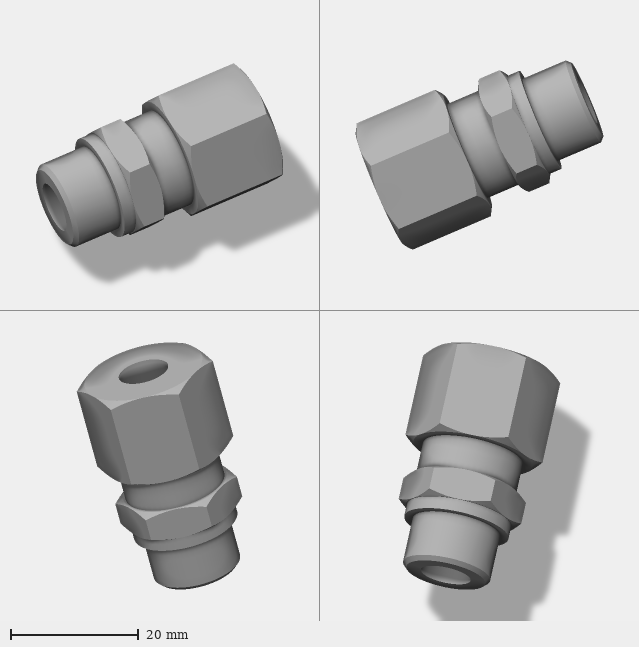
import cadquery as cq
import math

total_length = 35.4
spigot_length = 8.0
collar_length = 2.0
body_hex_length = 5.0
nut_length = 15.0

bore_diameter = 8.0
spigot_diameter = 14.0
collar_diameter = 16.7
body_hex_width = 17.0
neck_diameter = 16.0
nut_width = 19.0

spigot_chamfer = 0.67
hex_chamfer_angle = 30.0

collar_start = spigot_length
body_hex_start = collar_start + collar_length
neck_start = body_hex_start + body_hex_length
nut_start = total_length - nut_length
neck_length = nut_start - neck_start


def section_plane(start):
    """Plane across the fitting axis, with its normal along +Y."""
    return cq.Workplane(cq.Plane(origin=(0, start, 0), xDir=(1, 0, 0), normal=(0, 1, 0)))


def cylinder(diameter, start, length):
    return section_plane(start).circle(diameter / 2).extrude(length)


def chamfered_hexagon(width, start, length):
    """Hexagon with corners on the X axis and conically chamfered ends."""
    flat_radius = width / 2
    corner_radius = flat_radius / math.cos(math.radians(30))
    corner_drop = (corner_radius - flat_radius) * math.tan(math.radians(hex_chamfer_angle))
    end = start + length
    prism = section_plane(start).polygon(6, 2 * corner_radius).extrude(length)
    envelope = (
        cq.Workplane("XY")
        .moveTo(0, start)
        .lineTo(flat_radius, start)
        .lineTo(corner_radius, start + corner_drop)
        .lineTo(corner_radius, end - corner_drop)
        .lineTo(flat_radius, end)
        .lineTo(0, end)
        .close()
        .revolve(360, (0, 0, 0), (0, 1, 0))
    )
    return prism.intersect(envelope)


spigot = cylinder(spigot_diameter, 0, spigot_length).faces("<Y").chamfer(spigot_chamfer)
collar = cylinder(collar_diameter, collar_start, collar_length)
body_hex = chamfered_hexagon(body_hex_width, body_hex_start, body_hex_length)
neck = cylinder(neck_diameter, neck_start, neck_length)
nut = chamfered_hexagon(nut_width, nut_start, nut_length)
bore = cylinder(bore_diameter, 0, total_length)

result = spigot.union(collar).union(body_hex).union(neck).union(nut).cut(bore)